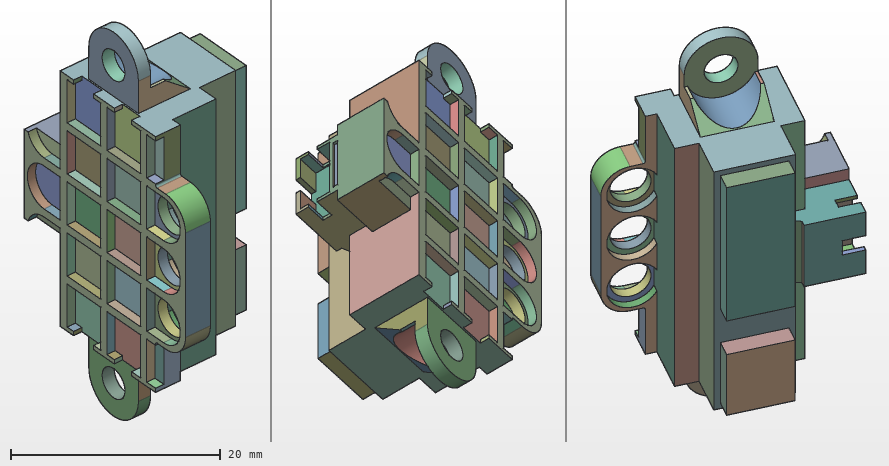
import cadquery as cq

overall_height = 44.7
overall_depth = 14.8

body_left = -6.53
body_step_right = 6.55
body_right = 7.75
body_half_height = 14.9
body_depth = 8.45
flange_depth = 3.1
tower_half_width = 4.1
tower_depth = 12.9

lens_half_width = 3.45
long_lens_z = (-2.4, 14.25)
short_lens_z = (-14.2, -6.6)

flange_right = 12.2
flange_half_height = 9.05
flange_corner_radius = 2.95
flange_root_fillet = 0.22
flange_hole_radius = 2.05
back_counterbore_radius = 2.7
back_counterbore_depth = 0.9

pocket_pitch = 5.95
pocket_half = 2.5
pocket_depth = 1.05
end_column_x = 1.5 * pocket_pitch
edge_column_left = end_column_x - pocket_half
rounded_rows = (-1, 0, 1)
open_rows = (-2, 2)
end_notches_x = ((-4.5, -1.5), (1.55, 4.15))

tab_radius = 3.7
tab_front = 1.2
tab_back = 2.73
tab_center_z = overall_height / 2 - tab_radius
tab_hole_radius = 1.7
tab_hole_z = 18.5
gusset_top = 17.2
gusset_top_depth = 4.55
gusset_root_depth = 7.65
screw_head_radius = 3.65

block_left = -11.9
block_half_height = 5.2
block_depth = 5.68
connector_right = -4.6
connector_half_height = 3.85
connector_depth = 10.75
connector_lip_right = -5.68
connector_lip_y = 10.1
connector_bevel_y = 9.65
socket_depth = 2.35
socket_half_height = 3.45
socket_y = (6.6, 10.2)
side_slot_depth = 2.25
side_slot_y = (8.15, 9.2)
key_half_height = 0.9
relief_half_height = 3.05
relief_back = 6.2
relief_depth = 0.25


def box(x_range, y_range, z_range):
    """Box between the given limits on each axis."""
    size = [high - low for low, high in (x_range, y_range, z_range)]
    corner = cq.Vector(x_range[0], y_range[0], z_range[0])
    return cq.Workplane(cq.Solid.makeBox(*size, corner))


def cylinder_along_y(x, z, radius, y_range):
    """Cylinder with its axis along Y."""
    start = cq.Vector(x, y_range[0], z)
    length = y_range[1] - y_range[0]
    return cq.Workplane(cq.Solid.makeCylinder(radius, length, start, cq.Vector(0, 1, 0)))


def centered(half):
    """Limits of a span that is centered on zero."""
    return (-half, half)


def make_housing():
    """Stepped housing with the flange at its side."""
    height = centered(body_half_height)
    base = box((body_left, body_right), (0, flange_depth), height)
    flange = box((0, flange_right), (0, flange_depth), centered(flange_half_height))
    flange = flange.edges("|Y and >X").fillet(flange_corner_radius)
    base = base.union(flange)
    root_margin = 0.05
    root = cq.selectors.BoxSelector(
        (body_right - root_margin, 0, -flange_half_height - root_margin),
        (body_right + root_margin, flange_depth, flange_half_height + root_margin),
    )
    base = base.edges("|Y").edges(root).fillet(flange_root_fillet)
    counterbore_y = (flange_depth - back_counterbore_depth, flange_depth)
    for row in rounded_rows:
        z = row * pocket_pitch
        base = base.cut(cylinder_along_y(end_column_x, z, back_counterbore_radius, counterbore_y))
    base = base.union(box((body_left, body_step_right), (0, body_depth), height))
    tower = box(centered(tower_half_width), (0, tower_depth), height)
    return base.union(tower)


def make_lens(z_range):
    return box(centered(lens_half_width), (body_depth, overall_depth), z_range)


def make_tab():
    """Upper mounting tab with the gusset behind it, cleared for the screw head."""
    plate_y = (tab_front, tab_back)
    plate = box(centered(tab_radius), plate_y, (0, tab_center_z))
    plate = plate.union(cylinder_along_y(0, tab_center_z, tab_radius, plate_y))
    gusset = (
        cq.Workplane("YZ")
        .moveTo(tab_front, 0)
        .lineTo(tab_front, gusset_top)
        .lineTo(gusset_top_depth, gusset_top)
        .lineTo(gusset_root_depth, body_half_height)
        .lineTo(gusset_root_depth, 0)
        .close()
        .extrude(tab_radius, both=True)
    )
    head_room = cylinder_along_y(0, tab_center_z, screw_head_radius, (tab_back, overall_depth))
    hole = cylinder_along_y(0, tab_hole_z, tab_hole_radius, (0, overall_depth))
    return plate.union(gusset.cut(head_room)).cut(hole)


def make_connector():
    """Open socket behind the cable block."""
    shell = (
        cq.Workplane("XY")
        .moveTo(block_left, 0)
        .lineTo(block_left, connector_depth)
        .lineTo(connector_lip_right, connector_depth)
        .lineTo(connector_lip_right, connector_lip_y)
        .lineTo(connector_right, connector_bevel_y)
        .lineTo(connector_right, block_depth)
        .lineTo(body_left, block_depth)
        .lineTo(body_left, 0)
        .close()
        .extrude(connector_half_height, both=True)
    )
    socket_x = (block_left, block_left + socket_depth)
    cavity = box(socket_x, socket_y, centered(socket_half_height))
    slot_x = (block_left, block_left + side_slot_depth)
    side_slots = box(slot_x, side_slot_y, centered(connector_half_height))
    key_slot = box(socket_x, (socket_y[0], connector_depth), centered(key_half_height))
    relief_x = (block_left, block_left + relief_depth)
    relief = box(relief_x, (block_depth, relief_back), centered(relief_half_height))
    return shell.cut(cavity).cut(side_slots).cut(key_slot).cut(relief)


def pocket_box(x_range, z):
    """Rectangular pocket of one row, centered on height z."""
    return box(x_range, (0, pocket_depth), (z - pocket_half, z + pocket_half))


def rounded_pocket(inner_x, round_x, z):
    """Pocket running from inner_x to a half-round end centered on round_x."""
    x_range = sorted((inner_x, round_x))
    half_round = cylinder_along_y(round_x, z, pocket_half, (0, pocket_depth))
    return pocket_box(x_range, z).union(half_round)


def cut_square_pockets(part):
    for row in open_rows + rounded_rows:
        for side in (-1, 1):
            x = side * pocket_pitch / 2
            part = part.cut(pocket_box((x - pocket_half, x + pocket_half), row * pocket_pitch))
    return part


def cut_end_pockets(part):
    """Outer pockets: rounded on the flange and the block, open at the housing corners."""
    block_face = box((block_left, body_left), (0, pocket_depth), centered(block_half_height))
    for row in rounded_rows:
        z = row * pocket_pitch
        part = part.cut(rounded_pocket(edge_column_left, end_column_x, z))
        part = part.cut(rounded_pocket(body_left, -end_column_x, z).intersect(block_face))
    for row in open_rows:
        part = part.cut(pocket_box((edge_column_left, body_right), row * pocket_pitch))
    return part


def cut_flange_holes(part):
    for row in rounded_rows:
        z = row * pocket_pitch
        part = part.cut(cylinder_along_y(end_column_x, z, flange_hole_radius, (0, flange_depth)))
    return part


def cut_end_notches(part):
    """Gaps in the top and bottom walls of the outermost pocket rows."""
    for x_range in end_notches_x:
        for side in (-1, 1):
            z_range = sorted((side * 2 * pocket_pitch, side * body_half_height))
            part = part.cut(box(x_range, (0, pocket_depth), z_range))
    return part


block = box((block_left, body_left), (0, block_depth), centered(block_half_height))
upper_tab = make_tab()
result = make_housing().union(make_lens(long_lens_z)).union(make_lens(short_lens_z))
result = result.union(upper_tab).union(upper_tab.mirror("XY"))
result = result.union(block).union(make_connector())
result = cut_square_pockets(result)
result = cut_end_pockets(result)
result = cut_flange_holes(result)
result = cut_end_notches(result)